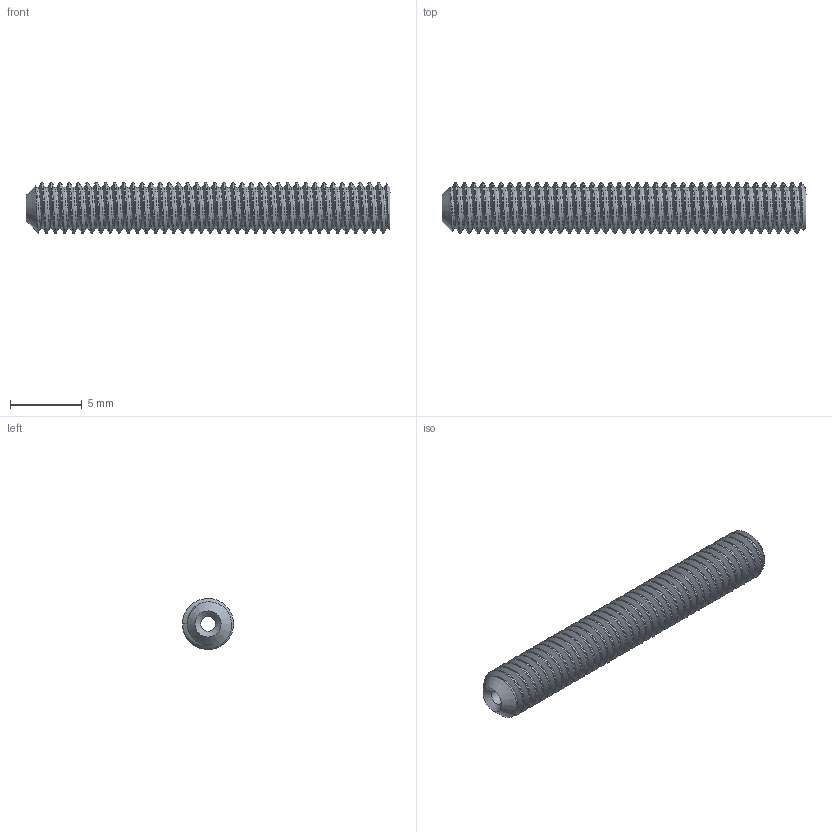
import cadquery as cq
import math

LENGTH = 25.4
MAJOR_DIAMETER = 3.56
THREADS_PER_INCH = 40
INCH = 25.4
BORE_DIAMETER = 1.04
TIP_DIAMETER = 1.82
CREST_START = 0.31

PITCH = INCH / THREADS_PER_INCH
FLANK_ANGLE = math.radians(30)
CREST_FLAT = PITCH / 8
ROOT_FLAT = PITCH / 4
MAJOR_RADIUS = MAJOR_DIAMETER / 2
THREAD_DEPTH = (PITCH - CREST_FLAT - ROOT_FLAT) / 2 / math.tan(FLANK_ANGLE)
MINOR_RADIUS = MAJOR_RADIUS - THREAD_DEPTH

BORE_RADIUS = BORE_DIAMETER / 2
TIP_RADIUS = TIP_DIAMETER / 2

OVERRUN_TURNS = 2
CLEARANCE = 0.2


def make_envelope():
    """Turned limits of the screw: cone point, crest chamfer at the far end, countersunk bore."""
    cone_length = MAJOR_RADIUS + CLEARANCE - TIP_RADIUS
    chamfer = MAJOR_RADIUS + CLEARANCE - MINOR_RADIUS
    countersink_depth = TIP_RADIUS - BORE_RADIUS
    return (
        cq.Workplane("XY")
        .moveTo(countersink_depth, BORE_RADIUS)
        .lineTo(0, TIP_RADIUS)
        .lineTo(cone_length, MAJOR_RADIUS + CLEARANCE)
        .lineTo(LENGTH - chamfer, MAJOR_RADIUS + CLEARANCE)
        .lineTo(LENGTH, MINOR_RADIUS)
        .lineTo(LENGTH, BORE_RADIUS)
        .close()
        .revolve(360, (0, 0, 0), (1, 0, 0))
    )


def helix(point):
    """One turn of right-hand helix about Z, starting from a (radius, height) point on +X."""
    radius, height = point
    return cq.Wire.makeHelix(PITCH, PITCH, radius).translate(cq.Vector(0, 0, height))


def make_threaded_tube():
    """Oversize threaded tube along Z, built turn by turn; a crest is centred on Z = 0 at +X."""
    inner_radius = BORE_RADIUS - CLEARANCE
    flank_width = THREAD_DEPTH * math.tan(FLANK_ANGLE)
    crest_edge = CREST_FLAT / 2
    outer_profile = [
        (MINOR_RADIUS, -crest_edge - flank_width),
        (MAJOR_RADIUS, -crest_edge),
        (MAJOR_RADIUS, crest_edge),
        (MINOR_RADIUS, crest_edge + flank_width),
        (MINOR_RADIUS, crest_edge + flank_width + ROOT_FLAT),
    ]
    inner_profile = [(inner_radius, outer_profile[-1][1]), (inner_radius, outer_profile[0][1])]

    turn_faces = [
        cq.Face.makeRuledSurface(helix(start), helix(end))
        for profile in (outer_profile, inner_profile)
        for start, end in zip(profile, profile[1:])
    ]
    end_helicoid = cq.Face.makeRuledSurface(helix(inner_profile[-1]), helix(outer_profile[0]))
    section = [cq.Vector(radius, 0, height) for radius, height in outer_profile + inner_profile]
    end_step = cq.Face.makeFromWires(cq.Wire.makePolygon(section, close=True))

    turns = math.ceil(LENGTH / PITCH) + 2 * OVERRUN_TURNS
    faces = [
        face.translate(cq.Vector(0, 0, turn * PITCH))
        for turn in range(turns)
        for face in turn_faces
    ]
    for end_height in (0, turns * PITCH):
        offset = cq.Vector(0, 0, end_height)
        faces.append(end_helicoid.translate(offset))
        faces.append(end_step.translate(offset))
    return cq.Solid.makeSolid(cq.Shell.makeShell(faces))


def lay_along_x(tube):
    """Turn the tube's axis from Z to X and its starting side from +X to +Y."""
    start = CREST_START - OVERRUN_TURNS * PITCH
    return (
        cq.Workplane(tube)
        .rotate((0, 0, 0), (1, 1, 1), 120)
        .translate((start, 0, 0))
    )


result = lay_along_x(make_threaded_tube()).intersect(make_envelope())